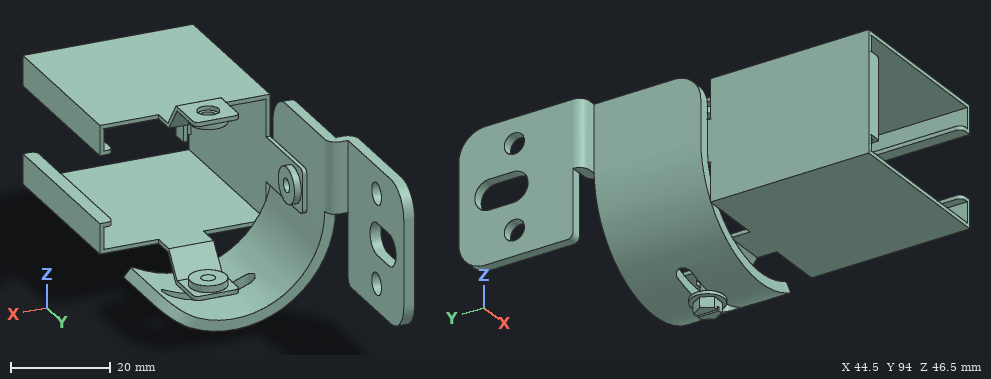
import cadquery as cq
import math


BOX_WIDTH = 37.7
BOX_LENGTH = 38.0
BOX_HEIGHT = 28.5
WALL = 0.9
SIDE_WALL_HEIGHT = 6.8
RIM_DEPTH = 3.0
RIM_CORNER = 1.4
LIP_HEIGHT = 19.2
LIP_REACH = 3.95
LIP_RETURN = 3.95
LIP_BEVEL = 0.2

TAB_WIDTH = 10.0
TAB_END_Y = 55.9
TAB_CORNER = 1.1
TAB_RISE = 5.45
TAB_BEND_START = 4.6
TAB_BEND_END = 8.6
COLLAR_DIAMETER = 8.0
COLLAR_HEIGHT = 1.5
TAB_HOLE_DIAMETER = 4.6

SHANK_DIAMETER = 3.0
BOLT_FLANGE_DIAMETER = 7.7
BOLT_FLANGE_THICKNESS = 0.75
HEX_FLATS = 5.2
HEX_HEIGHT = 2.4
HEX_BEVEL_HEIGHT = 0.5
HEX_BEVEL_WIDTH = 0.1
DRIVER_SLOT_WIDTH = 0.6
DRIVER_SLOT_DEPTH = 0.75

PLATE = 2.4
FLANGE_X = -6.8
WEB_X = -2.7
FLANGE_HEIGHT = 32.0
BRACKET_TOP = 29.1
BRACKET_END_Y = 94.0
BAND_START_Y = 38.5
BAND_END_Y = 64.1
BAND_RADIUS = 22.5
BAND_END_ANGLE = 42.0
LARGE_CORNER = 6.4
SMALL_CORNER = 1.4
FLANGE_HOLE_DIAMETER = 4.8
FLANGE_HOLE_SPACING = 19.9
FLANGE_HOLE_Y = 80.6
FLANGE_SLOT_Y = 83.7
FLANGE_SLOT_LENGTH = 12.7
FLANGE_SLOT_WIDTH = 7.05
BAND_SLOT_LENGTH = 20.4
BAND_SLOT_WIDTH = 3.6

BOX_MID_Z = BOX_HEIGHT / 2
BAND_X = WEB_X + BAND_RADIUS
BAND_Z = BRACKET_TOP - FLANGE_HEIGHT / 2
BAND_BOTTOM_Z = BAND_Z - BAND_RADIUS
BOLT_X = BAND_X
BOLT_Y = (BAND_START_Y + BAND_END_Y) / 2
STEP_END_Y = BAND_END_Y + PLATE
COLLAR_TIP_Z = -TAB_RISE + WALL + COLLAR_HEIGHT


def block(x_range, y_range, z_range):
    """Axis-aligned block between the given limits."""
    size = [high - low for low, high in (x_range, y_range, z_range)]
    return cq.Workplane("XY").box(*size, centered=False).translate((x_range[0], y_range[0], z_range[0]))



def box_shell():
    """Tube with its right-hand side open between two rimmed wall strips."""
    outer = block((0, BOX_WIDTH), (0, BOX_LENGTH), (0, BOX_HEIGHT))
    inner = block((WALL, BOX_WIDTH - WALL), (0, BOX_LENGTH), (WALL, BOX_HEIGHT - WALL))
    opening = block(
        (BOX_WIDTH - WALL, BOX_WIDTH), (0, BOX_LENGTH), (SIDE_WALL_HEIGHT, BOX_HEIGHT - SIDE_WALL_HEIGHT)
    )
    shell = outer.cut(inner).cut(opening)
    for rim_z in (SIDE_WALL_HEIGHT - WALL, BOX_HEIGHT - SIDE_WALL_HEIGHT):
        rim = block((BOX_WIDTH - RIM_DEPTH, BOX_WIDTH), (0, BOX_LENGTH), (rim_z, rim_z + WALL))
        shell = shell.union(rim.edges("|Z and <X").fillet(RIM_CORNER))
    return shell


def front_lip():
    """Lip folded inward from the left wall and then back into the box."""
    z_range = (BOX_MID_Z - LIP_HEIGHT / 2, BOX_MID_Z + LIP_HEIGHT / 2)
    lip = block((0, LIP_REACH), (0, LIP_RETURN), z_range)
    lip = lip.cut(block((0, LIP_REACH - WALL), (WALL, LIP_RETURN), z_range))
    bevel = (
        cq.Workplane("XY", origin=(LIP_REACH, 0, z_range[0]))
        .polyline([(-WALL, 0), (0, 0), (0, LIP_BEVEL)])
        .close()
        .extrude(LIP_HEIGHT)
    )
    return lip.cut(bevel)


def tab_collar(tab):
    """Add a collar below a tab lying with its outer face up at Z = 0, centred on X = 0, and bore it."""
    bore_depth = WALL + COLLAR_HEIGHT
    collar = cq.Workplane("XY").circle(COLLAR_DIAMETER / 2).extrude(-bore_depth)
    hole = cq.Workplane("XY").circle(TAB_HOLE_DIAMETER / 2).extrude(-WALL)
    bore = cq.Workplane("XY").circle(SHANK_DIAMETER / 2).extrude(-bore_depth)
    center = (0, BOLT_Y, 0)
    return tab.union(collar.translate(center)).cut(hole.translate(center)).cut(bore.translate(center))


def straight_tab():
    """Flat tab with its outer face up at Z = 0, running along +Y."""
    tab = block((-TAB_WIDTH / 2, TAB_WIDTH / 2), (BOX_LENGTH - WALL, TAB_END_Y), (-WALL, 0))
    return tab_collar(tab.edges("|Z and >Y").fillet(TAB_CORNER))


def raised_tab():
    """Tab that steps outward from the box before running flat, with its outer face at Z = 0."""
    low = -TAB_RISE
    bend_start = BOX_LENGTH + TAB_BEND_START
    bend_end = BOX_LENGTH + TAB_BEND_END
    slope_angle = math.atan2(TAB_RISE, TAB_BEND_END - TAB_BEND_START)
    bend_shift = WALL * math.tan(slope_angle / 2)
    tab = (
        cq.Workplane("YZ")
        .moveTo(BOX_LENGTH - WALL, low)
        .lineTo(bend_start, low)
        .lineTo(bend_end, 0)
        .lineTo(TAB_END_Y, 0)
        .lineTo(TAB_END_Y, -WALL)
        .lineTo(bend_end + bend_shift, -WALL)
        .lineTo(bend_start + bend_shift, low - WALL)
        .lineTo(BOX_LENGTH - WALL, low - WALL)
        .close()
        .extrude(TAB_WIDTH / 2, both=True)
    )
    return tab_collar(tab.edges("|Z and >Y").fillet(TAB_CORNER))


def build_housing():
    top_tab = raised_tab().translate((BOLT_X, 0, BOX_HEIGHT + TAB_RISE))
    bottom_tab = top_tab.mirror("XY", (0, 0, BOX_MID_Z))
    side_tab = straight_tab().rotate((0, 0, 0), (0, 1, 0), -90).translate((0, 0, BOX_MID_Z))
    return box_shell().union(front_lip()).union(top_tab).union(bottom_tab).union(side_tab)



def wall_flange():
    """Rounded flat flange with two screw holes and a slot between them."""
    flange = block(
        (FLANGE_X, FLANGE_X + PLATE), (STEP_END_Y, BRACKET_END_Y), (BRACKET_TOP - FLANGE_HEIGHT, BRACKET_TOP)
    )
    flange = flange.edges("|X and >Y").fillet(LARGE_CORNER)
    flange = flange.edges("|X and <Y and <Z").fillet(SMALL_CORNER)
    side = cq.Workplane("YZ", origin=(FLANGE_X, 0, BAND_Z))
    holes = (
        side.pushPoints([(FLANGE_HOLE_Y, -FLANGE_HOLE_SPACING / 2), (FLANGE_HOLE_Y, FLANGE_HOLE_SPACING / 2)])
        .circle(FLANGE_HOLE_DIAMETER / 2)
        .extrude(PLATE)
    )
    slot = side.center(FLANGE_SLOT_Y, 0).slot2D(FLANGE_SLOT_LENGTH, FLANGE_SLOT_WIDTH).extrude(PLATE)
    return flange.cut(holes).cut(slot)


def offset_step():
    """Upper half-height step from the flange to the upright, sharp inside and round outside both bends."""
    flange_inner_x = FLANGE_X + PLATE
    web_inner_x = WEB_X + PLATE
    diagonal = PLATE * math.sqrt(0.5)
    return (
        cq.Workplane("XY", origin=(0, 0, BAND_Z))
        .moveTo(FLANGE_X, STEP_END_Y)
        .threePointArc((flange_inner_x - diagonal, STEP_END_Y - diagonal), (flange_inner_x, BAND_END_Y))
        .lineTo(web_inner_x, BAND_END_Y)
        .threePointArc((WEB_X + diagonal, BAND_END_Y + diagonal), (WEB_X, STEP_END_Y))
        .close()
        .extrude(BRACKET_TOP - BAND_Z)
    )


def band_point(radius, angle):
    """Point in the XZ plane at an angle in degrees past the lowest point of the band."""
    turn = math.radians(angle)
    return (BAND_X + radius * math.sin(turn), BAND_Z - radius * math.cos(turn))


def curved_band():
    """Upright that runs down into a circular band with a rounded end and a long slot."""
    inner_radius = BAND_RADIUS - PLATE
    mid_angle = (BAND_END_ANGLE - 90) / 2
    band = (
        cq.Workplane("XZ", origin=(0, BAND_START_Y, 0))
        .moveTo(WEB_X, BRACKET_TOP)
        .lineTo(WEB_X, BAND_Z)
        .threePointArc(band_point(BAND_RADIUS, mid_angle), band_point(BAND_RADIUS, BAND_END_ANGLE))
        .lineTo(*band_point(inner_radius, BAND_END_ANGLE))
        .threePointArc(band_point(inner_radius, mid_angle), (WEB_X + PLATE, BAND_Z))
        .lineTo(WEB_X + PLATE, BRACKET_TOP)
        .close()
        .extrude(BAND_START_Y - BAND_END_Y)
    )
    band = band.edges("|X and >Z and <Y").fillet(LARGE_CORNER)
    end_x, end_z = band_point(BAND_RADIUS - PLATE / 2, BAND_END_ANGLE)
    for side_y in (BAND_START_Y, BAND_END_Y):
        band = band.edges(cq.NearestToPointSelector((end_x, side_y, end_z))).fillet(LARGE_CORNER)
    slot = (
        cq.Workplane("XY", origin=(BOLT_X, BOLT_Y, BAND_BOTTOM_Z))
        .slot2D(BAND_SLOT_LENGTH, BAND_SLOT_WIDTH)
        .extrude(BAND_RADIUS)
    )
    return band.cut(slot)


def build_bracket(housing):
    """Whole bracket, with a shallow relief where the band curves in under the housing's side tab."""
    bracket = curved_band().union(offset_step()).union(wall_flange())
    return bracket.cut(housing)



def build_bolt():
    """Slotted hex flange bolt, upright, with its flange against the bottom of the band."""
    hex_top = BAND_BOTTOM_Z - BOLT_FLANGE_THICKNESS
    hex_bottom = hex_top - HEX_HEIGHT
    corner_diameter = HEX_FLATS / math.cos(math.radians(30))
    base = cq.Workplane("XY", origin=(BOLT_X, BOLT_Y, hex_bottom))
    head = base.polygon(6, corner_diameter).extrude(HEX_HEIGHT)
    head = head.faces("<Z").chamfer(HEX_BEVEL_HEIGHT, HEX_BEVEL_WIDTH)
    head = head.cut(base.rect(DRIVER_SLOT_WIDTH, BOLT_FLANGE_DIAMETER).extrude(DRIVER_SLOT_DEPTH))
    flange = (
        base.workplane(offset=HEX_HEIGHT).circle(BOLT_FLANGE_DIAMETER / 2).extrude(BOLT_FLANGE_THICKNESS)
    )
    shank = base.workplane(offset=HEX_HEIGHT).circle(SHANK_DIAMETER / 2).extrude(COLLAR_TIP_Z - hex_top)
    return head.union(flange).union(shank)


housing = build_housing()
bracket = build_bracket(housing)
bolt = build_bolt()

result = cq.Compound.makeCompound([*housing.solids().vals(), *bracket.solids().vals(), *bolt.solids().vals()])